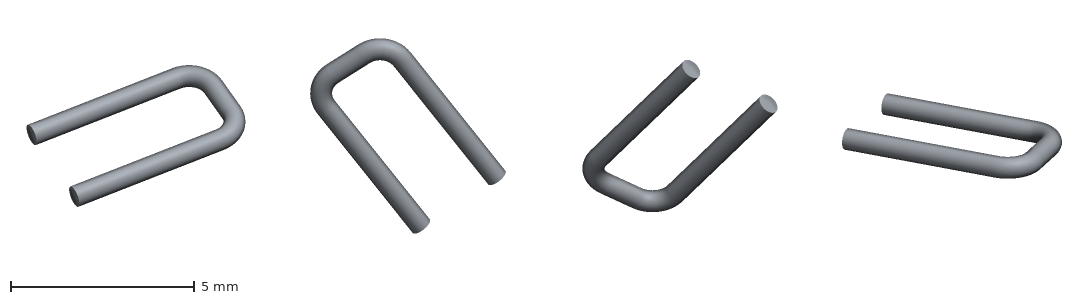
import cadquery as cq
import math

length = 5.53
width = 3.14
wire_diameter = 0.6
bend_radius = 0.745
left_leg_shortening = 0.03

wire_radius = wire_diameter / 2
leg_x = width / 2 - wire_radius
crown_y = length / 2 - wire_radius
bend_start_y = crown_y - bend_radius
bend_center_x = leg_x - bend_radius
right_end_y = -length / 2
left_end_y = right_end_y + left_leg_shortening

arc_mid_offset = bend_radius * math.sin(math.radians(45))
arc_mid_x = bend_center_x + arc_mid_offset
arc_mid_y = bend_start_y + arc_mid_offset

wire_axis = (
    cq.Workplane("XY")
    .moveTo(-leg_x, left_end_y)
    .lineTo(-leg_x, bend_start_y)
    .threePointArc((-arc_mid_x, arc_mid_y), (-bend_center_x, crown_y))
    .lineTo(bend_center_x, crown_y)
    .threePointArc((arc_mid_x, arc_mid_y), (leg_x, bend_start_y))
    .lineTo(leg_x, right_end_y)
)

result = (
    cq.Workplane("XZ", origin=(-leg_x, left_end_y, 0))
    .circle(wire_radius)
    .sweep(wire_axis)
)